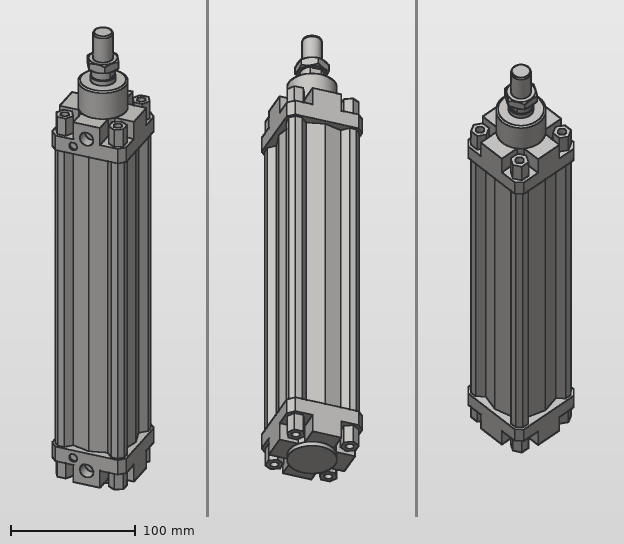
import cadquery as cq
import math


OVERALL_HEIGHT = 404.0

CAP_WIDTH = 65.0
CAP_CORNER_CHAMFER = 5.3
CAP_HEIGHT = 29.0
CORNER_POCKET_DEPTH = 15.8
CROSS_WIDTH_X = 23.5
CROSS_WIDTH_Y = 24.5
POCKET_INNER_CHAMFER = 4.0
COLLAR_DIAMETER = 40.0
REAR_COLLAR_HEIGHT = 4.0
FRONT_COLLAR_HEIGHT = 25.0
FRONT_COLLAR_CHAMFER_RADIAL = 1.5
FRONT_COLLAR_CHAMFER_HEIGHT = 1.2

SCREW_SPACING = 46.5
SCREW_ACROSS_FLATS = 13.0
SCREW_SOCKET_DIAMETER = 7.0
SCREW_SOCKET_DEPTH = 6.5
DRILL_POINT_ANGLE = 118

PORT_DIAMETER = 11.7
PORT_LEVEL = 13.0
PORT_DEPTH = 10.0
CUSHION_DIAMETER = 7.0
CUSHION_LEVEL = 22.2
CUSHION_OFFSET = -11.7
CUSHION_DEPTH = 1.5

BARREL_WIDTH = 60.5
BARREL_CORNER_CHAMFER = 4.0
RAIL_INNER_X = 20.5
HOLLOW_X = 15.0
HOLLOW_DEPTH = 5.5
CREST_DEPTH = 1.5

ROD_DIAMETER = 20.0
ROD_NECK_DIAMETER = 19.5
ROD_CHAMFER_HEIGHT = 1.0
ROD_FLAT_WIDTH = 17.0
THREAD_DIAMETER = 16.0
THREAD_LENGTH = 32.0
THREAD_CHAMFER_RADIAL = 1.0
THREAD_CHAMFER_HEIGHT = 1.5
FLATS_FROM_TOP = 39.0

NUT_ACROSS_FLATS = 24.0
NUT_FACE_DIAMETER = 23.0
NUT_HEIGHT = 8.0
NUT_CHAMFER_ANGLE = 30

REAR_FACE = REAR_COLLAR_HEIGHT
ROD_TIP = OVERALL_HEIGHT
FRONT_FACE = 335.0
NECK_FACE = FRONT_FACE + FRONT_COLLAR_HEIGHT
THREAD_START = ROD_TIP - THREAD_LENGTH
FLATS_START = ROD_TIP - FLATS_FROM_TOP


def hexagon_diameter(across_flats):
    """Diameter of the circle through the corners of a hexagon."""
    return across_flats / math.cos(math.radians(30))


def turned(points):
    """Solid of revolution about Z from (radius, z) points."""
    return cq.Workplane("XZ").polyline(points).close().revolve(360, (0, 0, 0), (0, 1, 0))


def tie_screw():
    """Hexagon screw head on the Z axis, top face at z = 0, with a drilled socket."""
    head = (
        cq.Workplane("XY")
        .polygon(6, hexagon_diameter(SCREW_ACROSS_FLATS))
        .extrude(-CORNER_POCKET_DEPTH)
    )
    radius = SCREW_SOCKET_DIAMETER / 2
    point_height = radius / math.tan(math.radians(DRILL_POINT_ANGLE / 2))
    socket = turned([
        (0, 0),
        (radius, 0),
        (radius, -SCREW_SOCKET_DEPTH),
        (0, -SCREW_SOCKET_DEPTH - point_height),
    ])
    return head.cut(socket)


def side_hole(diameter, x, level, depth):
    """Blind round hole bored into the -Y face of a cap."""
    return (
        cq.Workplane("XZ", origin=(0, -CAP_WIDTH / 2, 0))
        .center(x, -level)
        .circle(diameter / 2)
        .extrude(-depth)
    )


def end_cap(collar_height):
    """End cap facing +Z with its outer face at z = 0."""
    flange_height = CAP_HEIGHT - CORNER_POCKET_DEPTH
    flange = (
        cq.Workplane("XY", origin=(0, 0, -CAP_HEIGHT))
        .rect(CAP_WIDTH, CAP_WIDTH)
        .extrude(flange_height)
        .edges("|Z")
        .chamfer(CAP_CORNER_CHAMFER)
    )
    arm_along_y = cq.Workplane("XY").rect(CROSS_WIDTH_X, CAP_WIDTH).extrude(-CORNER_POCKET_DEPTH)
    arm_along_x = cq.Workplane("XY").rect(CAP_WIDTH, CROSS_WIDTH_Y).extrude(-CORNER_POCKET_DEPTH)

    core = (
        cq.Workplane("XY")
        .rect(CROSS_WIDTH_X + 2 * POCKET_INNER_CHAMFER, CROSS_WIDTH_Y + 2 * POCKET_INNER_CHAMFER)
        .extrude(-CORNER_POCKET_DEPTH)
        .edges("|Z")
        .chamfer(POCKET_INNER_CHAMFER)
    )
    collar = cq.Workplane("XY").circle(COLLAR_DIAMETER / 2).extrude(collar_height)
    cap = flange.union(arm_along_y).union(arm_along_x).union(core).union(collar)

    first_screw = tie_screw().translate((SCREW_SPACING / 2, SCREW_SPACING / 2, 0))
    for quarter in range(4):
        cap = cap.union(first_screw.rotate((0, 0, 0), (0, 0, 1), 90 * quarter))

    cap = cap.cut(side_hole(PORT_DIAMETER, 0, PORT_LEVEL, PORT_DEPTH))
    return cap.cut(side_hole(CUSHION_DIAMETER, CUSHION_OFFSET, CUSHION_LEVEL, CUSHION_DEPTH))


def barrel(bottom, top):
    """Profiled tube: four chamfered corner rails with a ridged hollow on each side."""
    half = BARREL_WIDTH / 2
    rail_outer_x = half - BARREL_CORNER_CHAMFER
    side = [
        (-rail_outer_x, half),
        (-RAIL_INNER_X, half),
        (-HOLLOW_X, half - HOLLOW_DEPTH),
        (0, half - CREST_DEPTH),
        (HOLLOW_X, half - HOLLOW_DEPTH),
        (RAIL_INNER_X, half),
        (rail_outer_x, half),
    ]
    outline = []
    for _ in range(4):
        outline += side
        side = [(y, -x) for x, y in side]
    return cq.Workplane("XY", origin=(0, 0, bottom)).polyline(outline).close().extrude(top - bottom)


def make_housing():
    front_cap = (
        end_cap(FRONT_COLLAR_HEIGHT)
        .faces(">Z")
        .chamfer(FRONT_COLLAR_CHAMFER_HEIGHT, FRONT_COLLAR_CHAMFER_RADIAL)
        .translate((0, 0, FRONT_FACE))
    )
    rear_cap = end_cap(REAR_COLLAR_HEIGHT).mirror("XY").translate((0, 0, REAR_FACE))
    tube = barrel(REAR_FACE + CAP_HEIGHT, FRONT_FACE - CAP_HEIGHT)
    return tube.union(front_cap).union(rear_cap)


def make_rod():
    """Piston rod standing on the front collar, with wrench flats and a threaded end."""
    thread_radius = THREAD_DIAMETER / 2
    rod = turned([
        (0, NECK_FACE),
        (ROD_DIAMETER / 2, NECK_FACE),
        (ROD_DIAMETER / 2, FLATS_START - ROD_CHAMFER_HEIGHT),
        (ROD_NECK_DIAMETER / 2, FLATS_START),
        (ROD_NECK_DIAMETER / 2, THREAD_START),
        (thread_radius, THREAD_START),
        (thread_radius, ROD_TIP - THREAD_CHAMFER_HEIGHT),
        (thread_radius - THREAD_CHAMFER_RADIAL, ROD_TIP),
        (0, ROD_TIP),
    ])
    between_flats = (
        cq.Workplane("XY", origin=(0, 0, FLATS_START))
        .rect(ROD_FLAT_WIDTH, ROD_DIAMETER)
        .extrude(ROD_TIP - FLATS_START)
    )
    below_flats = (
        cq.Workplane("XY", origin=(0, 0, NECK_FACE))
        .circle(ROD_DIAMETER / 2)
        .extrude(FLATS_START - NECK_FACE)
    )
    return rod.intersect(between_flats.union(below_flats))


def make_nut():
    """Hexagon nut resting on the rod shoulder, its corners chamfered on both faces."""
    corner_diameter = hexagon_diameter(NUT_ACROSS_FLATS)
    bottom = THREAD_START
    top = bottom + NUT_HEIGHT
    hexagon = (
        cq.Workplane("XY", origin=(0, 0, bottom))
        .polygon(6, corner_diameter)
        .circle(THREAD_DIAMETER / 2)
        .extrude(NUT_HEIGHT)
    )
    face_radius = NUT_FACE_DIAMETER / 2
    corner_radius = corner_diameter / 2
    drop = (corner_radius - face_radius) * math.tan(math.radians(NUT_CHAMFER_ANGLE))
    envelope = turned([
        (0, bottom),
        (face_radius, bottom),
        (corner_radius, bottom + drop),
        (corner_radius, top - drop),
        (face_radius, top),
        (0, top),
    ])
    return hexagon.intersect(envelope)


housing = make_housing()
rod = make_rod()
nut = make_nut()

result = cq.Compound.makeCompound([housing.val(), rod.val(), nut.val()])